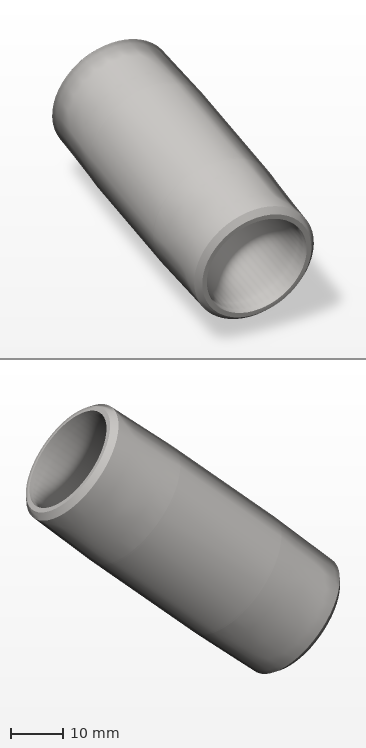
import cadquery as cq

length = 60.0
outer_radius = 13.45
bore_radius = 10.8

band_half_length = 12.85
ring_width = 0.35

taper_on_radius = 1 / 32
end_chamfer = 1.15

half_length = length / 2
taper_start = band_half_length + ring_width
taper_end = half_length - end_chamfer
taper_end_radius = outer_radius - (taper_end - taper_start) * taper_on_radius
face_radius = taper_end_radius - end_chamfer

half_profile = [
    (band_half_length, outer_radius),
    (taper_start, outer_radius),
    (taper_end, taper_end_radius),
    (half_length, face_radius),
    (half_length, bore_radius),
]
mirrored_profile = [(-x, radius) for x, radius in reversed(half_profile)]

wall_section = cq.Workplane("XZ").polyline(half_profile + mirrored_profile).close()
result = wall_section.revolve(360, (0, 0, 0), (1, 0, 0), clean=False)